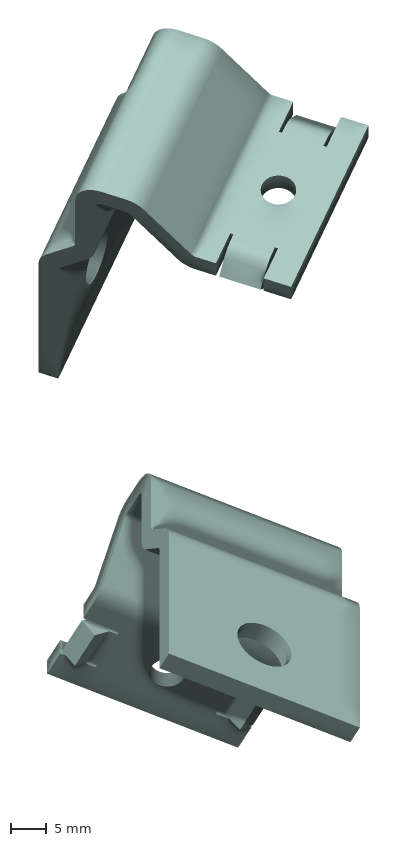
import cadquery as cq
import math

length = 38.0
width = 30.0
height = 48.0

sheet = 3.0
inner_radius = 1.0
outer_radius = inner_radius + sheet
middle_radius = inner_radius + sheet / 2
slope_angle = 45

lower_leg = 26.0
leg_offset = 5.5
top_flat = 3.6
shelf_drop = 8.5

leg_hole_diameter = 8.5
leg_hole_height = 10.1
shelf_hole_diameter = 5.0
shelf_hole_inset = 7.75

tab_width = 6.25
slot_width = 0.5
slot_depth = 5.55
tab_bend_inset = 4.6
tab_angle = 43
tab_inner_radius = 0.7

tab_x = length - shelf_hole_inset
shelf_top = height - shelf_drop


def beside(point, heading, offset):
    """Point at an offset to the left of another one, for a heading in degrees."""
    angle = math.radians(heading)
    return (point[0] - offset * math.sin(angle), point[1] + offset * math.cos(angle))


def sheet_strip(start, heading, steps, bend_radius):
    """Closed profile of a sheet following straight lengths and bends.

    The start point and the bend radius belong to the sheet's middle line.
    Angles are in degrees, with bends to the left positive.
    """
    point = start
    stations = [(point, heading, None)]
    for kind, amount in steps:
        bend_middle = None
        if kind == "line":
            angle = math.radians(heading)
            point = (point[0] + amount * math.cos(angle), point[1] + amount * math.sin(angle))
        else:
            radius = math.copysign(bend_radius, amount)
            center = beside(point, heading, radius)
            middle_heading = heading + amount / 2
            bend_middle = (beside(center, middle_heading, -radius), middle_heading)
            heading += amount
            point = beside(center, heading, -radius)
        stations.append((point, heading, bend_middle))

    def draw_edge(path, target, bend_middle, offset):
        end = beside(*target, offset)
        if bend_middle is None:
            return path.lineTo(*end)
        return path.threePointArc(beside(*bend_middle, offset), end)

    half = sheet / 2
    path = cq.Workplane("XZ").moveTo(*beside(*stations[0][:2], half))
    for *target, bend_middle in stations[1:]:
        path = draw_edge(path, target, bend_middle, half)
    path = path.lineTo(*beside(*stations[-1][:2], -half))
    for index in range(len(stations) - 1, 0, -1):
        path = draw_edge(path, stations[index - 1][:2], stations[index][2], -half)
    return path.close()


def bent_strap():
    """Full-width strap: leg, offset slope, upper leg, top, slope and shelf."""
    slope = math.radians(slope_angle)
    bend_run = middle_radius * math.sin(slope)
    bend_shift = middle_radius * (1 - math.cos(slope))
    leg_slope = (leg_offset - 2 * bend_shift) / math.sin(slope)
    upper_leg = height - lower_leg - 2 * bend_run - leg_slope * math.cos(slope) - outer_radius
    shelf_slope = (shelf_drop - 2 * bend_shift) / math.sin(slope)
    shelf_start = leg_offset + outer_radius + top_flat + 2 * bend_run + shelf_slope * math.cos(slope)
    steps = [
        ("line", lower_leg),
        ("bend", -slope_angle),
        ("line", leg_slope),
        ("bend", slope_angle),
        ("line", upper_leg),
        ("bend", -90),
        ("line", top_flat),
        ("bend", -slope_angle),
        ("line", shelf_slope),
        ("bend", slope_angle),
        ("line", length - shelf_start),
    ]
    return sheet_strip((sheet / 2, 0), 90, steps, middle_radius).extrude(width / 2, both=True)


def bent_tab():
    """Tab at the +Y edge, curving down from the shelf to the strap's edge line."""
    bend = math.radians(tab_angle)
    root = slot_depth - tab_bend_inset
    sloped_length = (tab_bend_inset - (tab_inner_radius + sheet) * math.sin(bend)) / math.cos(bend)
    steps = [("line", root), ("bend", -tab_angle), ("line", sloped_length)]
    profile = sheet_strip((0, -sheet / 2), 0, steps, tab_inner_radius + sheet / 2)
    tab = profile.extrude(tab_width / 2, both=True).rotate((0, 0, 0), (0, 0, 1), 90)
    return tab.translate((tab_x, width / 2 - slot_depth, shelf_top))


def tab_notch():
    """Clearance at the +Y edge for a tab and its two side slots."""
    notch_width = tab_width + 2 * slot_width
    notch = cq.Workplane("XY").box(notch_width, slot_depth, sheet, centered=(True, False, False))
    return notch.translate((tab_x, width / 2 - slot_depth, shelf_top - sheet))


def leg_hole():
    profile = cq.Workplane("YZ").center(0, leg_hole_height).circle(leg_hole_diameter / 2)
    return profile.extrude(sheet)


def shelf_hole():
    profile = cq.Workplane("XY", origin=(tab_x, 0, shelf_top - sheet)).circle(shelf_hole_diameter / 2)
    return profile.extrude(sheet)


result = bent_strap().cut(leg_hole()).cut(shelf_hole())
notch = tab_notch()
tab = bent_tab()
result = result.cut(notch).cut(notch.mirror("XZ"))
result = result.union(tab).union(tab.mirror("XZ"))